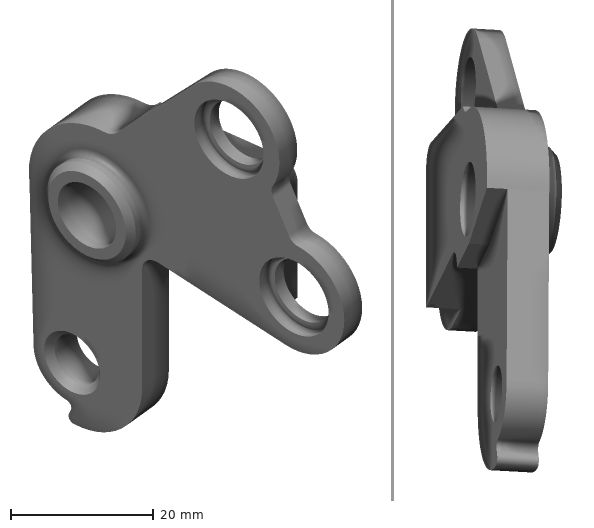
import cadquery as cq
import math


FULL_THICKNESS = 9.0
ARM_THICKNESS = 4.0
HANGER_THICKNESS = 6.0

MAIN = (0.0, 0.0)
MAIN_RADIUS = 13.0
MAIN_HOLE = 10.5
COLLAR_DIAMETER = 16.0
COLLAR_HEIGHT = 3.05
COLLAR_EDGE = 1.0

UPPER_EYE = (23.2, 22.0)
RIGHT_EYE = (34.9, 0.0)
EYE_RADIUS = 9.1
EYE_HOLE = 10.2
EYE_COUNTERBORE = 12.5
EYE_COUNTERBORE_DEPTH = 2.0

HANGER_HOLE_CENTER = (-5.2, -29.6)
HANGER_RADIUS = 7.0
HANGER_HOLE = 8.0
HANGER_CHAMFER = 1.1
HANGER_RIGHT_X = 7.5
HANGER_LEFT_START_Z = -1.8
STOP_RADIUS = 11.7
STOP_CENTER = (HANGER_RIGHT_X - STOP_RADIUS, -28.4)
STOP_FACE_POINT = (-5.35, -37.7)
STOP_FACE_ANGLE = math.radians(245)

UPPER_EDGE_ANGLE = math.radians(46.4)
LOWER_EDGE_ANGLE = math.radians(-9.3)
EYE_EDGE_OFFSET = 4.0

SHOULDER_FILLET = 3.0
EYE_FILLET = 2.0
INNER_CORNER_FILLET = 2.5
STOP_FILLET = 1.0

BLOCK_TOP_LEFT = (3.4, 14.45)
BLOCK_TOP_RIGHT = (25.25, 15.0)
BLOCK_END_X = 28.3
BLOCK_CORNER_RADIUS = BLOCK_END_X - BLOCK_TOP_RIGHT[0]
BLOCK_FLOOR_KNEE = (-0.7, -6.7)
BLOCK_FLOOR_RIGHT_Z = -8.0

OUTSIDE = 56.9


def polar(center, radius, angle):
    return (center[0] + radius * math.cos(angle), center[1] + radius * math.sin(angle))


def line_circle(point, angle, center, radius, side):
    """Meeting point of a line and a circle; side +1 is the later one along the line."""
    dx, dz = math.cos(angle), math.sin(angle)
    rx, rz = center[0] - point[0], center[1] - point[1]
    along = rx * dx + rz * dz
    across = rx * dz - rz * dx
    return polar(point, along + side * math.sqrt(radius**2 - across**2), angle)


def prism(sketch, y_start, y_end):
    """Extrude a closed (x, z) sketch, drawn at y = y_start, to y_end."""
    return sketch.close().extrude(y_start - y_end)


def plane_at(y):
    return cq.Workplane("XZ", origin=(0, y, 0))


def outline_solid():
    right_angle = math.pi / 2
    upper_tangent = polar(UPPER_EYE, EYE_RADIUS, UPPER_EDGE_ANGLE + right_angle)
    shoulder = line_circle(upper_tangent, UPPER_EDGE_ANGLE, MAIN, MAIN_RADIUS, 1)

    eye_angle = math.atan2(RIGHT_EYE[1] - UPPER_EYE[1], RIGHT_EYE[0] - UPPER_EYE[0])
    eye_edge = polar(UPPER_EYE, EYE_EDGE_OFFSET, eye_angle + right_angle)
    upper_notch = line_circle(eye_edge, eye_angle, UPPER_EYE, EYE_RADIUS, 1)
    right_notch = line_circle(eye_edge, eye_angle, RIGHT_EYE, EYE_RADIUS, -1)

    lower_tangent = polar(RIGHT_EYE, EYE_RADIUS, LOWER_EDGE_ANGLE - right_angle)
    inner_run = HANGER_RIGHT_X - lower_tangent[0]
    inner_corner = (HANGER_RIGHT_X, lower_tangent[1] + inner_run * math.tan(LOWER_EDGE_ANGLE))

    stop_tip = line_circle(STOP_FACE_POINT, STOP_FACE_ANGLE, STOP_CENTER, STOP_RADIUS, 1)
    stop_root = line_circle(STOP_FACE_POINT, STOP_FACE_ANGLE, HANGER_HOLE_CENTER, HANGER_RADIUS, 1)

    hanger_left = (HANGER_HOLE_CENTER[0] - HANGER_RADIUS, HANGER_HOLE_CENTER[1])
    left_start = (-math.sqrt(MAIN_RADIUS**2 - HANGER_LEFT_START_Z**2), HANGER_LEFT_START_Z)

    solid = prism(
        plane_at(0)
        .moveTo(*left_start)
        .threePointArc(polar(MAIN, MAIN_RADIUS, math.radians(135)), shoulder)
        .lineTo(*upper_tangent)
        .threePointArc(polar(UPPER_EYE, EYE_RADIUS, math.radians(45)), upper_notch)
        .lineTo(*right_notch)
        .threePointArc(polar(RIGHT_EYE, EYE_RADIUS, 0), lower_tangent)
        .lineTo(*inner_corner)
        .lineTo(HANGER_RIGHT_X, STOP_CENTER[1])
        .threePointArc(polar(STOP_CENTER, STOP_RADIUS, math.radians(-45)), stop_tip)
        .lineTo(*stop_root)
        .threePointArc(polar(HANGER_HOLE_CENTER, HANGER_RADIUS, math.radians(225)), hanger_left),
        0,
        FULL_THICKNESS,
    )
    corner_fillets = [
        (shoulder, SHOULDER_FILLET),
        (upper_notch, EYE_FILLET),
        (right_notch, EYE_FILLET),
        (inner_corner, INNER_CORNER_FILLET),
        (stop_root, STOP_FILLET),
        (stop_tip, STOP_FILLET),
    ]
    for (x, z), radius in corner_fillets:
        corner_edge = cq.selectors.NearestToPointSelector((x, FULL_THICKNESS / 2, z))
        solid = solid.edges("|Y").edges(corner_edge).fillet(radius)
    return solid


def arm_relief():
    """Space behind the thin arm, above and beyond the thick block."""
    corner_center = (BLOCK_TOP_RIGHT[0], BLOCK_TOP_RIGHT[1] - BLOCK_CORNER_RADIUS)
    return prism(
        plane_at(ARM_THICKNESS)
        .moveTo(*BLOCK_TOP_LEFT)
        .lineTo(*BLOCK_TOP_RIGHT)
        .threePointArc(
            polar(corner_center, BLOCK_CORNER_RADIUS, math.radians(45)),
            (BLOCK_END_X, corner_center[1]),
        )
        .lineTo(BLOCK_END_X, -OUTSIDE)
        .lineTo(OUTSIDE, -OUTSIDE)
        .lineTo(OUTSIDE, OUTSIDE)
        .lineTo(BLOCK_TOP_LEFT[0], OUTSIDE),
        ARM_THICKNESS,
        FULL_THICKNESS,
    )


def hanger_relief():
    """Space behind the hanger, below the thick block."""
    return prism(
        plane_at(HANGER_THICKNESS)
        .moveTo(-OUTSIDE, HANGER_LEFT_START_Z)
        .lineTo(-MAIN_RADIUS, HANGER_LEFT_START_Z)
        .lineTo(*BLOCK_FLOOR_KNEE)
        .lineTo(HANGER_RIGHT_X, BLOCK_FLOOR_RIGHT_Z)
        .lineTo(HANGER_RIGHT_X, -OUTSIDE)
        .lineTo(-OUTSIDE, -OUTSIDE),
        HANGER_THICKNESS,
        FULL_THICKNESS,
    )


def collar():
    """Collar revolved about the Y axis, with a root fillet and a chamfered rim."""
    radius = COLLAR_DIAMETER / 2
    fillet_center = (radius + COLLAR_EDGE, -COLLAR_EDGE)
    return (
        cq.Workplane("XY")
        .moveTo(0, 0)
        .lineTo(radius + COLLAR_EDGE, 0)
        .threePointArc(
            polar(fillet_center, COLLAR_EDGE, math.radians(135)),
            (radius, -COLLAR_EDGE),
        )
        .lineTo(radius, COLLAR_EDGE - COLLAR_HEIGHT)
        .lineTo(radius - COLLAR_EDGE, -COLLAR_HEIGHT)
        .lineTo(0, -COLLAR_HEIGHT)
        .close()
        .revolve(360, (0, 0, 0), (0, 1, 0))
    )


def bore(center, diameter, y_start, y_end):
    return plane_at(y_start).center(*center).circle(diameter / 2).extrude(y_start - y_end)


def hanger_countersink():
    mouth = HANGER_HOLE / 2 + HANGER_CHAMFER
    x, z = HANGER_HOLE_CENTER
    cone = cq.Solid.makeCone(
        mouth, HANGER_HOLE / 2, HANGER_CHAMFER, pnt=cq.Vector(x, 0, z), dir=cq.Vector(0, 1, 0)
    )
    return cq.Workplane(obj=cone)


result = outline_solid().cut(arm_relief()).cut(hanger_relief()).union(collar())
result = result.cut(bore(MAIN, MAIN_HOLE, -COLLAR_HEIGHT, FULL_THICKNESS))
for eye in (UPPER_EYE, RIGHT_EYE):
    result = result.cut(bore(eye, EYE_HOLE, 0, ARM_THICKNESS))
    result = result.cut(bore(eye, EYE_COUNTERBORE, 0, EYE_COUNTERBORE_DEPTH))
result = result.cut(bore(HANGER_HOLE_CENTER, HANGER_HOLE, 0, HANGER_THICKNESS))
result = result.cut(hanger_countersink())